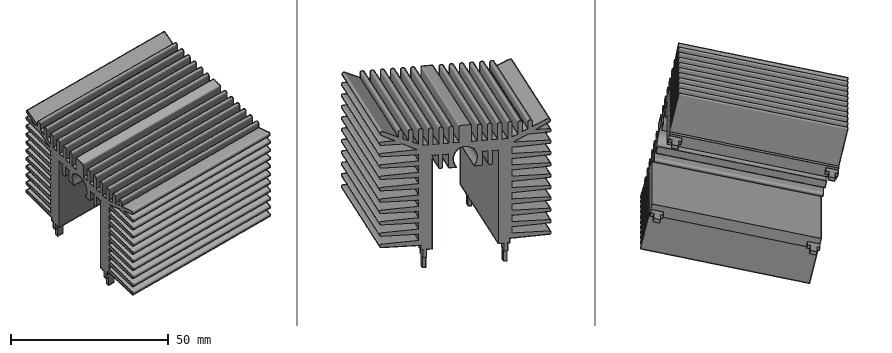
import cadquery as cq
import math

WIDTH = 55.8
LENGTH = 55.0
HEIGHT = 47.55
SIDES = (-1, 1)

SLAB_TOP = 41.85
SLAB_BOTTOM = 38.1
WALL_OUTER = 15.2
WALL_INNER = 10.7
WALL_BOTTOM = 6.4
WALL_FOOT_OUTER = 14.5
WALL_FOOT_TOP = 8.1

BLOCK_WIDTH = 4.0
BLOCK_CORNER_RADIUS = 0.5

TOP_FIN_COUNT = 6
TOP_FIN_FIRST_X = 4.65
TOP_FIN_PITCH = 3.3
TOP_FIN_THICKNESS = 1.45

SIDE_FIN_COUNT = 10
SIDE_FIN_BOTTOM_Z = 8.8
SIDE_FIN_PITCH = 3.85
SIDE_FIN_ROOT = 1.8
SIDE_FIN_TIP = 1.15
UPPER_FIN_ROOT = 1.4
UPPER_FIN_ROOT_X = 20.35

CORNER_FIN_ANGLE = 25.4
CORNER_FIN_ROOT = 1.9
CORNER_FIN_TIP = 1.35
CORNER_FIN_ROOT_X = 14.5
CORNER_FIN_TIP_X = 27.0

HANGING_BOTTOM = 33.4
HANGING_FIN_X = 8.1
HANGING_FIN_THICKNESS = 1.4
HOOK_OUTER = 5.5
HOOK_TIP_X = 2.9
HOOK_CORNER_RADIUS = 0.35
CHANNEL_RADIUS = 3.9
CHANNEL_Z = 36.4

PIN_X = 13.2
PIN_THICKNESS = 1.15
PIN_SHOULDER_WIDTH = 4.1
PIN_SHOULDER_BOTTOM = 3.8
PIN_WIDTH = 2.2
PIN_EMBED = 1.1


def extrude_profile(outline):
    """Extrude an XZ outline over the full length, centred on y = 0."""
    return outline.extrude(LENGTH / 2, both=True)


def bar(x_min, x_max, z_min, z_max):
    """Full-length rectangular bar."""
    outline = cq.Workplane("XZ").center((x_min + x_max) / 2, (z_min + z_max) / 2)
    return extrude_profile(outline.rect(x_max - x_min, z_max - z_min))


def fin(root, tip_center, root_thickness, tip_thickness):
    """Full-length fin with a rounded tip, tapering from its root to the tip centre."""
    run = tip_center[0] - root[0]
    rise = tip_center[1] - root[1]
    span = math.hypot(run, rise)
    along = (run / span, rise / span)
    across = (-along[1], along[0])

    def offset(point, direction, distance):
        return (point[0] + direction[0] * distance, point[1] + direction[1] * distance)

    outline = (
        cq.Workplane("XZ")
        .moveTo(*offset(root, across, root_thickness / 2))
        .lineTo(*offset(tip_center, across, tip_thickness / 2))
        .threePointArc(
            offset(tip_center, along, tip_thickness / 2),
            offset(tip_center, across, -tip_thickness / 2),
        )
        .lineTo(*offset(root, across, -root_thickness / 2))
        .close()
    )
    return extrude_profile(outline)


def corner_fin_z(x):
    """Height of the corner fin's centreline at a distance x from the middle."""
    tip_z = HEIGHT - CORNER_FIN_TIP / 2
    return tip_z - (CORNER_FIN_TIP_X - x) * math.tan(math.radians(CORNER_FIN_ANGLE))


def bridge():
    """Slab joining the walls, with the central block on top."""
    slab = bar(-WALL_OUTER, WALL_OUTER, SLAB_BOTTOM, SLAB_TOP)
    block = bar(-BLOCK_WIDTH / 2, BLOCK_WIDTH / 2, SLAB_BOTTOM, HEIGHT)
    block = block.faces(">Z").edges("|Y").fillet(BLOCK_CORNER_RADIUS)
    return slab.union(block)


def wall(side):
    """Side wall with a narrower foot."""
    outline = cq.Workplane("XZ").polyline(
        [
            (side * WALL_INNER, SLAB_TOP),
            (side * WALL_INNER, WALL_BOTTOM),
            (side * WALL_FOOT_OUTER, WALL_BOTTOM),
            (side * WALL_FOOT_OUTER, WALL_FOOT_TOP),
            (side * WALL_OUTER, WALL_FOOT_TOP),
            (side * WALL_OUTER, SLAB_TOP),
        ]
    )
    return extrude_profile(outline.close())


def top_fins(side):
    """Upright fins; the outer ones stand on the slanted corner fin."""
    fins = []
    for index in range(TOP_FIN_COUNT):
        x = TOP_FIN_FIRST_X + index * TOP_FIN_PITCH
        root_z = max(SLAB_BOTTOM, corner_fin_z(x))
        tip_z = HEIGHT - TOP_FIN_THICKNESS / 2
        root = (side * x, root_z)
        tip = (side * x, tip_z)
        fins.append(fin(root, tip, TOP_FIN_THICKNESS, TOP_FIN_THICKNESS))
    return fins


def side_fins(side):
    """Horizontal fins; the uppermost one grows out of the corner fin."""
    tip_x = WIDTH / 2 - SIDE_FIN_TIP / 2
    fins = []
    for index in range(SIDE_FIN_COUNT):
        z = SIDE_FIN_BOTTOM_Z + index * SIDE_FIN_PITCH
        root_x = WALL_FOOT_OUTER
        root_thickness = SIDE_FIN_ROOT
        if index == SIDE_FIN_COUNT - 1:
            root_x = UPPER_FIN_ROOT_X
            root_thickness = UPPER_FIN_ROOT
        fins.append(fin((side * root_x, z), (side * tip_x, z), root_thickness, SIDE_FIN_TIP))
    return fins


def corner_fin(side):
    """Slanted fin rising from the top of the wall to the upper outer corner."""
    root = (side * CORNER_FIN_ROOT_X, corner_fin_z(CORNER_FIN_ROOT_X))
    tip = (side * CORNER_FIN_TIP_X, corner_fin_z(CORNER_FIN_TIP_X))
    return fin(root, tip, CORNER_FIN_ROOT, CORNER_FIN_TIP)


def hanging_fin(side):
    """Short fin hanging from the bridge."""
    x = side * HANGING_FIN_X
    tip_z = HANGING_BOTTOM + HANGING_FIN_THICKNESS / 2
    return fin((x, SLAB_TOP), (x, tip_z), HANGING_FIN_THICKNESS, HANGING_FIN_THICKNESS)


def hook(side):
    """Leg beside the clip channel, still without the channel cut."""
    x_range = sorted((side * HOOK_TIP_X, side * HOOK_OUTER))
    leg = bar(*x_range, HANGING_BOTTOM, SLAB_BOTTOM)
    outer_face = ">X" if side > 0 else "<X"
    return leg.faces(outer_face).edges("|Y and <Z").fillet(HOOK_CORNER_RADIUS)


def clip_channel():
    """Round channel whose flanks run on as tangents down to the hook tips."""
    drop = CHANNEL_Z - HANGING_BOTTOM
    tip_distance = math.hypot(HOOK_TIP_X, drop)
    tangent_angle = math.atan2(drop, HOOK_TIP_X) - math.acos(CHANNEL_RADIUS / tip_distance)
    tangent_x = CHANNEL_RADIUS * math.cos(tangent_angle)
    tangent_z = CHANNEL_Z - CHANNEL_RADIUS * math.sin(tangent_angle)
    outline = (
        cq.Workplane("XZ")
        .moveTo(-HOOK_TIP_X, HANGING_BOTTOM)
        .lineTo(-tangent_x, tangent_z)
        .threePointArc((0, CHANNEL_Z + CHANNEL_RADIUS), (tangent_x, tangent_z))
        .lineTo(HOOK_TIP_X, HANGING_BOTTOM)
        .close()
    )
    return extrude_profile(outline)


def pin(side, end):
    """Flat solder pin with a wide shoulder, flush with one end of the part."""
    shoulder_y = end * (LENGTH - PIN_SHOULDER_WIDTH) / 2

    def plate(width, bottom, top):
        block = cq.Workplane("XY").box(PIN_THICKNESS, width, top - bottom, centered=(True, True, False))
        return block.translate((side * PIN_X, shoulder_y, bottom))

    shoulder = plate(PIN_SHOULDER_WIDTH, PIN_SHOULDER_BOTTOM, WALL_BOTTOM + PIN_EMBED)
    return shoulder.union(plate(PIN_WIDTH, 0, PIN_SHOULDER_BOTTOM))


result = bridge()
for side in SIDES:
    pieces = [wall(side), hook(side), hanging_fin(side), corner_fin(side)]
    for piece in pieces + top_fins(side) + side_fins(side):
        result = result.union(piece)

result = result.cut(clip_channel())

for side in SIDES:
    for end in SIDES:
        result = result.union(pin(side, end))